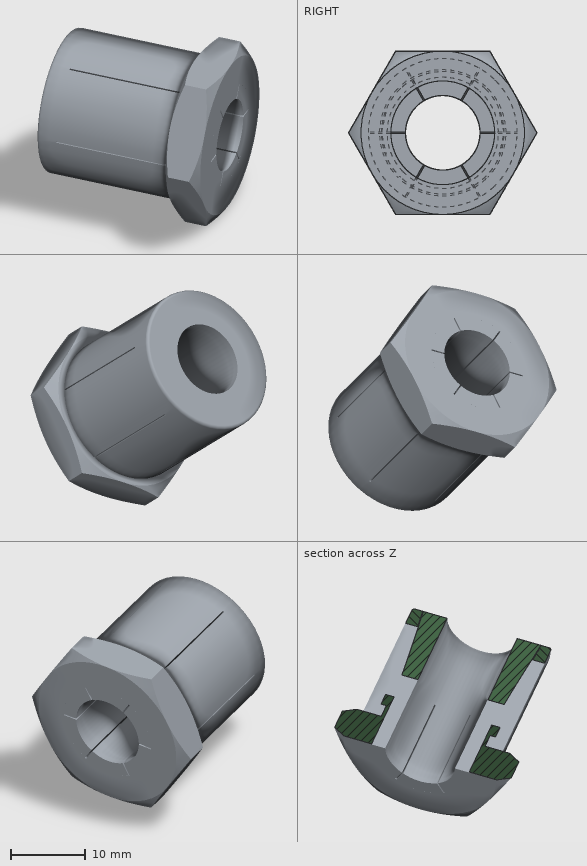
import cadquery as cq
import math


total_length = 24.0
hex_thickness = 5.0
hex_start = total_length - hex_thickness
nose_start = 15.25
neck_start = 17.1
outer_slit_start = 2.82
inner_slit_start = 11.4

hex_corner_diameter = 25.4
outer_diameter = 20.02
inner_end_diameter = 17.02
nose_diameter = 16.5
neck_diameter = 14.99
stem_diameter = 13.97
bore_diameter = 10.0

rim_fillet = 0.4
slit_count = 6
slit_width = 0.2
hex_sides = 6
hex_chamfer_angle = 30.0

outer_radius = outer_diameter / 2
inner_end_radius = inner_end_diameter / 2
nose_radius = nose_diameter / 2
neck_radius = neck_diameter / 2
stem_radius = stem_diameter / 2
bore_radius = bore_diameter / 2
hex_corner_radius = hex_corner_diameter / 2
hex_flat_radius = hex_corner_radius * math.cos(math.pi / hex_sides)


def turned(profile):
    """Revolve a closed (X, radius) profile about the X axis."""
    return cq.Workplane("XZ").polyline(profile).close().revolve(360, (0, 0, 0), (1, 0, 0))


def slits(start, end):
    """Thin radial blades, evenly spaced about the axis, with one pointing along -Y."""
    blade = cq.Workplane("XY").box(end - start, outer_radius, slit_width, centered=(False, False, True))
    blade = blade.translate((start, -outer_radius, 0))
    blades = cq.Workplane("XY")
    for i in range(slit_count):
        blades = blades.add(blade.rotate((0, 0, 0), (1, 0, 0), i * 360 / slit_count))
    return blades.combine()


def make_inner_sleeve():
    """Bored sleeve: a cone that narrows towards the nut, then a straight stem for the nut."""
    body = turned(
        [
            (0, bore_radius),
            (0, inner_end_radius),
            (nose_start, stem_radius),
            (total_length, stem_radius),
            (total_length, bore_radius),
        ]
    )
    return body.cut(slits(inner_slit_start, total_length))


def make_outer_sleeve():
    """Cylinder with a tapered bore, a recess for the nut's nose and a lip around the nut's neck."""
    body = turned(
        [
            (0, inner_end_radius),
            (0, outer_radius),
            (hex_start, outer_radius),
            (hex_start, neck_radius),
            (neck_start, neck_radius),
            (neck_start, nose_radius),
            (nose_start, nose_radius),
            (nose_start, stem_radius),
        ]
    )
    end_rim = cq.selectors.RadiusNthSelector(-1)
    body = body.faces("<X").edges(end_rim).fillet(rim_fillet)
    return body.cut(slits(outer_slit_start, hex_start))


def make_nut():
    """Hexagon with both faces chamfered at the corners, and a grooved nose inside the outer sleeve."""
    chamfer_depth = (hex_corner_radius - hex_flat_radius) * math.tan(math.radians(hex_chamfer_angle))
    hexagon = cq.Workplane("YZ").polygon(hex_sides, hex_corner_diameter).extrude(hex_thickness)
    hexagon = hexagon.translate((hex_start, 0, 0))
    chamfer_envelope = turned(
        [
            (hex_start, 0),
            (hex_start, hex_flat_radius),
            (hex_start + chamfer_depth, hex_corner_radius),
            (total_length - chamfer_depth, hex_corner_radius),
            (total_length, hex_flat_radius),
            (total_length, 0),
        ]
    )
    nose = turned(
        [
            (nose_start, 0),
            (nose_start, nose_radius),
            (neck_start, nose_radius),
            (neck_start, neck_radius),
            (hex_start, neck_radius),
            (hex_start, 0),
        ]
    )
    stem_hole = cq.Workplane("YZ").workplane(offset=nose_start).circle(stem_radius)
    stem_hole = stem_hole.extrude(total_length - nose_start)
    return hexagon.intersect(chamfer_envelope).union(nose).cut(stem_hole)


inner_sleeve = make_inner_sleeve()
outer_sleeve = make_outer_sleeve()
nut = make_nut()

result = cq.Compound.makeCompound([inner_sleeve.val(), outer_sleeve.val(), nut.val()])